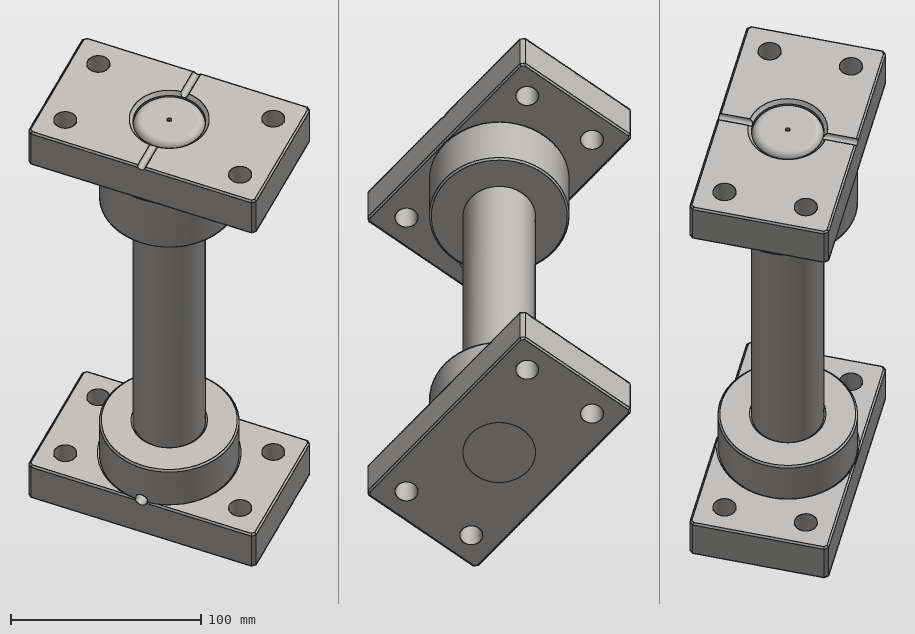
import cadquery as cq

TOTAL_HEIGHT = 280.3

PLATE_LENGTH = 130.0
PLATE_WIDTH = 75.0
PLATE_THICKNESS = 25.0
CORNER_CHAMFER = 2.0
EDGE_CHAMFER = 1.0

HOLE_DIAMETER = 12.0
HOLE_SPACING_X = 100.0
HOLE_SPACING_Y = 44.0

BOSS_DIAMETER = 73.5
LOWER_BOSS_HEIGHT = 25.0
UPPER_BOSS_HEIGHT = 35.0
BOSS_CHAMFER = 1.0

ROOT_GROOVE_SIZE = 1.0
FOOT_RELIEF_SIZE = 0.8

POST_DIAMETER = 38.0
POST_TOP_RECESS = 0.3
POST_END_FILLET = 4.5
CENTRE_DIMPLE_DIAMETER = 2.2
CENTRE_DIMPLE_DEPTH = 2.0
LOWER_BORE_CHAMFER = 1.0
UPPER_BORE_CHAMFER = 2.0

GROOVE_RADIUS = 2.2
GROOVE_DEPTH = 2.0
PORT_DIAMETER = 6.7
PORT_SEAM_ANGLE = 30


def make_plate():
    """Chamfered plate on Z=0 with four through mounting holes."""
    mounting_holes = (
        cq.Workplane("XY")
        .rect(HOLE_SPACING_X, HOLE_SPACING_Y, forConstruction=True)
        .vertices()
        .circle(HOLE_DIAMETER / 2)
        .extrude(PLATE_THICKNESS)
    )
    return (
        cq.Workplane("XY")
        .box(PLATE_LENGTH, PLATE_WIDTH, PLATE_THICKNESS, centered=(True, True, False))
        .edges("|Z").chamfer(CORNER_CHAMFER)
        .faces("<Z or >Z").chamfer(EDGE_CHAMFER)
        .cut(mounting_holes)
    )


def make_boss(height):
    """Round boss that reaches the given height above the plate, chamfered at its free end."""
    return (
        cq.Workplane("XY")
        .circle(BOSS_DIAMETER / 2)
        .extrude(PLATE_THICKNESS + height)
        .faces(">Z").chamfer(BOSS_CHAMFER)
    )


def make_bore(height):
    """Cylinder that clears the post through a plate and a boss of the given height."""
    return cq.Workplane("XY").circle(POST_DIAMETER / 2).extrude(PLATE_THICKNESS + height)


def boss_foot_ring(radial_size, axial_size):
    """Triangular ring at the foot of a boss, based on the circle where it meets the plate.

    Positive sizes run outward and upward, negative sizes inward and downward.
    """
    boss_radius = BOSS_DIAMETER / 2
    return (
        cq.Workplane("XZ")
        .moveTo(boss_radius, PLATE_THICKNESS)
        .lineTo(boss_radius + radial_size, PLATE_THICKNESS)
        .lineTo(boss_radius, PLATE_THICKNESS + axial_size)
        .close()
        .revolve(360, (0, 0), (0, 1))
    )


def bore_countersink(face_height, size):
    """Cone that chamfers the rim of a bore in an upward face at the given height."""
    rim_radius = POST_DIAMETER / 2
    return cq.Workplane("XY").add(
        cq.Solid.makeCone(rim_radius, rim_radius + size, size, cq.Vector(0, 0, face_height - size))
    )


def make_lower_housing():
    """Base plate with boss, and a port from the -Y side into the bore."""
    boss_top = PLATE_THICKNESS + LOWER_BOSS_HEIGHT
    port = (
        cq.Workplane("XZ")
        .center(0, PLATE_THICKNESS)
        .transformed(rotate=(0, 0, PORT_SEAM_ANGLE))
        .circle(PORT_DIAMETER / 2)
        .extrude(PLATE_WIDTH / 2)
    )
    root_groove = boss_foot_ring(ROOT_GROOVE_SIZE, -ROOT_GROOVE_SIZE)
    return (
        make_plate()
        .cut(root_groove)
        .union(make_boss(LOWER_BOSS_HEIGHT))
        .cut(make_bore(LOWER_BOSS_HEIGHT))
        .cut(bore_countersink(boss_top, LOWER_BORE_CHAMFER))
        .cut(port)
    )


def make_upper_housing():
    """Plate above, boss hanging below, with a groove across its top face."""
    foot_relief = boss_foot_ring(-FOOT_RELIEF_SIZE, FOOT_RELIEF_SIZE)
    housing = (
        make_plate()
        .union(make_boss(UPPER_BOSS_HEIGHT))
        .cut(foot_relief)
        .cut(make_bore(UPPER_BOSS_HEIGHT))
        .rotate((0, 0, 0), (1, 0, 0), 180)
        .translate((0, 0, TOTAL_HEIGHT))
    )
    groove = (
        cq.Workplane("XZ")
        .center(0, TOTAL_HEIGHT - GROOVE_DEPTH + GROOVE_RADIUS)
        .circle(GROOVE_RADIUS)
        .extrude(PLATE_WIDTH / 2, both=True)
    )
    return housing.cut(bore_countersink(TOTAL_HEIGHT, UPPER_BORE_CHAMFER)).cut(groove)


def make_post():
    """Guide post just below flush with the upper plate, with a rounded top and centre dimple."""
    post_height = TOTAL_HEIGHT - POST_TOP_RECESS
    dimple = (
        cq.Workplane("XY")
        .workplane(offset=post_height - CENTRE_DIMPLE_DEPTH)
        .circle(CENTRE_DIMPLE_DIAMETER / 2)
        .extrude(CENTRE_DIMPLE_DEPTH)
    )
    return (
        cq.Workplane("XY")
        .circle(POST_DIAMETER / 2)
        .extrude(post_height)
        .faces(">Z").edges().fillet(POST_END_FILLET)
        .cut(dimple)
    )


lower_housing = make_lower_housing()
upper_housing = make_upper_housing()
post = make_post()

result = cq.Compound.makeCompound([lower_housing.val(), upper_housing.val(), post.val()])